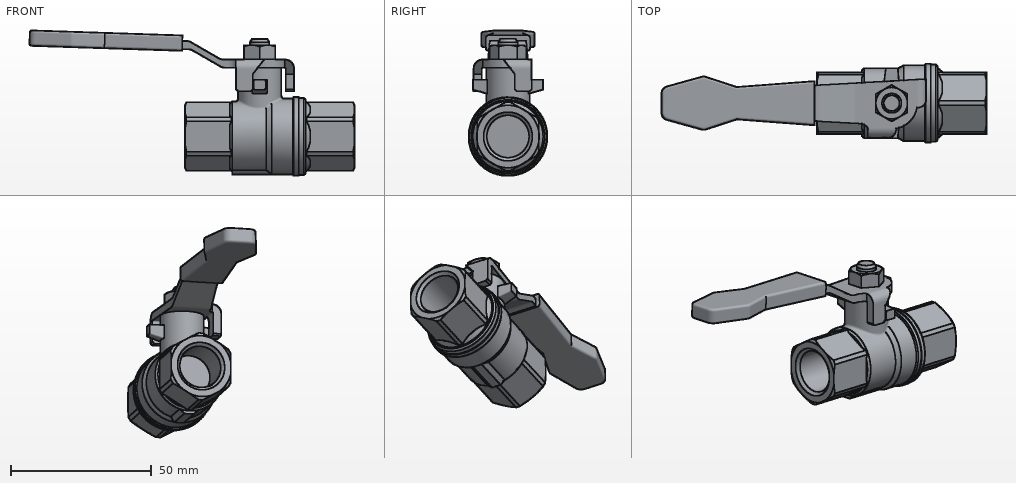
import cadquery as cq
import math


left_end = -26.5
right_end = 33.7
hex_flats = 21.9
hex_corner_width = 1.6
end_face_radius = 11.1
end_chamfer_length = 0.8
left_shell_start = -10.6
shell_edge = 0.8
left_shell_radius = 12.5
step_start = 2.4
step_end = 4.3
right_shell_radius = 27.0 / 2
collar_start = 11.7
collar_edge = 0.5
collar_radius = 28.0 / 2
rim_start = 13.8
rim_radius = 27.5 / 2
rim_end = 16.4
rim_edge = 0.7
shoulder_radius = 12.5
shoulder_end = 18.0
shoulder_end_radius = 11.1

pad_root_half = 3.7
pad_root_z = -11.8
pad_face_half = 1.7

bore_diameter = 15.0
bore_depth = 16.2
bore_mouth_diameter = 17.3

boss_diameter = 15.5
boss_fillet = 0.9
lug_reach = 12.5
lug_top = 20.2
lug_end_bottom = 16.6
lug_root_bottom = 15.2
lug_root_width = 5.3
lug_end_width = 4.2
lug_edge = 0.5

plate_thickness = 3.0
plate_bottom = 24.4
plate_top = plate_bottom + plate_thickness
plate_arc_radius = 9.1
lever_taper = 0.055
lever_half_at_stem = 7.8
crank_start = -13.7
crank_end = -25.2
crank_thickness = 2.3
crank_angle = 30.0
crank_bend_radius = 3.5
tang_length = 5.5
relief_length = 3.0

tab_reach = 12.2
tab_bend_inside = 0.3
tab_bend_outside = plate_thickness + tab_bend_inside
tab_bottom = 16.0
tab_outer_side = 8.4
tab_inner_side = 2.4
tab_flare_z = 22.2
tab_flare_side = -1.6
tab_corner = 0.7

grip_end = -81.6
grip_start = -27.4
grip_thickness = 5.5
grip_tilt = 1.9
grip_start_top = 35.9
grip_start_half = 7.8
grip_waist_x = -54.9
grip_waist_half = 5.8
grip_bulge_x = -66.6
grip_bulge_half = 9.6
grip_end_half = 5.4
grip_end_corner = 2.8
grip_bulge_corner = 1.7
grip_edge = 0.9

nut_flats = 11.2
nut_top = 32.4
nut_chamfer_height = 0.6
stem_diameter = 6.9
stem_top = 34.6
stem_chamfer_height = 1.2
stem_chamfer_width = 0.7


def around_x(from_x, to_x):
    """Selector for everything from one X to another, with a little margin, at any Y and Z."""
    margin = 2.3
    far = right_end - grip_end
    return cq.selectors.BoxSelector((from_x - margin, -far, -far), (to_x + margin, far, far))


def hexagon_across(flats):
    """Diameter through the corners of a hexagon, from its width across flats."""
    return flats / math.cos(math.pi / 6)


def revolve_about_x(points):
    return cq.Workplane("XY").polyline(points).close().revolve(360, (0, 0, 0), (1, 0, 0))


def hexagon_ends():
    """Hexagonal bar with blunted corners and chamfered end faces."""
    across_corners = hexagon_across(hex_flats)
    blunt = hex_corner_width / 2 * math.tan(math.pi / 6)
    length = right_end - left_end
    bar = cq.Workplane("YZ", origin=(left_end, 0, 0)).polygon(6, across_corners).extrude(length)
    bar = bar.rotate((0, 0, 0), (1, 0, 0), 90)
    blunted = cq.Workplane("YZ", origin=(left_end, 0, 0))
    blunted = blunted.polygon(6, hexagon_across(across_corners - 2 * blunt)).extrude(length)
    envelope = revolve_about_x([
        (left_end, 0),
        (left_end, end_face_radius),
        (left_end + end_chamfer_length, across_corners / 2),
        (right_end - end_chamfer_length, across_corners / 2),
        (right_end, end_face_radius),
        (right_end, 0),
    ])
    return bar.intersect(blunted).intersect(envelope)


def shell():
    """Turned middle of the body: left shell, step, right shell, collar and shoulder."""
    return revolve_about_x([
        (left_shell_start, 0),
        (left_shell_start, left_shell_radius - shell_edge),
        (left_shell_start + shell_edge, left_shell_radius),
        (step_start, left_shell_radius),
        (step_end, right_shell_radius),
        (collar_start, right_shell_radius),
        (collar_start + collar_edge, collar_radius),
        (rim_start, collar_radius),
        (rim_start, rim_radius),
        (rim_end - rim_edge, rim_radius),
        (rim_end, rim_radius - rim_edge),
        (rim_end, shoulder_radius),
        (shoulder_end, shoulder_end_radius),
        (shoulder_end, 0),
    ])


def bottom_pad():
    """Tapered pad that brings the left shell down to the level of the right shell."""
    return (
        cq.Workplane("YZ", origin=(left_shell_start + shell_edge, 0, 0))
        .polyline([
            (-pad_root_half, pad_root_z),
            (-pad_face_half, -right_shell_radius),
            (pad_face_half, -right_shell_radius),
            (pad_root_half, pad_root_z),
        ])
        .close()
        .extrude(step_end - left_shell_start - shell_edge)
    )


def bore(end_x, inward):
    """Blind threaded hole with a countersunk mouth; inward is the sign of X going into the body."""
    mouth_depth = (bore_mouth_diameter - bore_diameter) / 2
    return revolve_about_x([
        (end_x, 0),
        (end_x, bore_mouth_diameter / 2),
        (end_x + inward * mouth_depth, bore_diameter / 2),
        (end_x + inward * bore_depth, bore_diameter / 2),
        (end_x + inward * bore_depth, 0),
    ])


def body():
    boss = cq.Workplane("XY").circle(boss_diameter / 2).extrude(plate_bottom)
    housing = shell().union(boss)
    root = cq.selectors.BoxSelector(
        (-boss_diameter / 2, -boss_diameter / 2, boss_diameter / 2),
        (boss_diameter / 2, boss_diameter / 2, collar_radius),
    )
    housing = housing.edges(root).edges("not #Z").fillet(boss_fillet)
    housing = housing.union(hexagon_ends()).union(bottom_pad())
    return housing.cut(bore(left_end, 1)).cut(bore(right_end, -1))


def stop_lugs():
    """Two opposite lugs on the boss, narrowing outward and sloping underneath."""
    side = (
        cq.Workplane("YZ", origin=(-lug_root_width / 2, 0, 0))
        .polyline([
            (-lug_reach, lug_top),
            (lug_reach, lug_top),
            (lug_reach, lug_end_bottom),
            (boss_diameter / 2, lug_root_bottom),
            (-boss_diameter / 2, lug_root_bottom),
            (-lug_reach, lug_end_bottom),
        ])
        .close()
        .extrude(lug_root_width)
    )
    plan = (
        cq.Workplane("XY")
        .polyline([
            (-lug_end_width / 2, -lug_reach),
            (-lug_root_width / 2, -boss_diameter / 2),
            (-lug_root_width / 2, boss_diameter / 2),
            (-lug_end_width / 2, lug_reach),
            (lug_end_width / 2, lug_reach),
            (lug_root_width / 2, boss_diameter / 2),
            (lug_root_width / 2, -boss_diameter / 2),
            (lug_end_width / 2, -lug_reach),
        ])
        .close()
        .extrude(lug_top)
    )
    lugs = side.intersect(plan)
    return lugs.edges("not |X").edges("not |Z").edges("not #Y").fillet(lug_edge)


def lever_half(x):
    return lever_half_at_stem + lever_taper * x


def lever_bar():
    """Cranked flat bar from the stem to inside the grip, tapering in plan."""
    slope = math.tan(math.radians(crank_angle))
    rise = (crank_start - crank_end) * slope
    crank_drop = crank_thickness / math.cos(math.radians(crank_angle))
    under_shift = (plate_thickness - crank_drop) / slope
    tang_end = grip_start - tang_length
    profile = (
        cq.Workplane("XZ", origin=(0, tab_reach, 0))
        .polyline([
            (0, plate_bottom),
            (crank_start + under_shift, plate_bottom),
            (crank_end + under_shift, plate_bottom + rise),
            (tang_end, plate_bottom + rise),
            (tang_end, plate_top + rise),
            (crank_end, plate_top + rise),
            (crank_start, plate_top),
            (0, plate_top),
        ])
        .close()
        .extrude(2 * tab_reach)
        .edges("|Y")
        .edges(around_x(crank_end, crank_start))
        .fillet(crank_bend_radius)
    )
    plan = (
        cq.Workplane("XY")
        .polyline([
            (tang_end, -lever_half(tang_end)),
            (0, -lever_half(0)),
            (0, lever_half(0)),
            (tang_end, lever_half(tang_end)),
        ])
        .close()
        .extrude(grip_start_top)
    )
    return profile.intersect(plan)


def plate_piece(outline):
    return outline.close().extrude(plate_thickness)


def stem_plate():
    """Flat of the lever around the stem: an arc on one corner, straight towards both tabs."""
    base = cq.Workplane("XY", origin=(0, 0, plate_bottom))
    bend_start = tab_reach - tab_bend_outside
    relief_x = -tab_outer_side - relief_length
    relief_y = -lever_half(relief_x)
    relief_depth = relief_y + bend_start
    relief_radius = (relief_length ** 2 + relief_depth ** 2) / (2 * relief_depth)

    rounded_corner = base.circle(plate_arc_radius).extrude(plate_thickness)
    rounded_corner = rounded_corner.intersect(plate_piece(base.polyline([
        (-tab_outer_side, -bend_start),
        (bend_start, -bend_start),
        (bend_start, tab_outer_side),
        (-tab_outer_side, lever_half(-tab_outer_side)),
    ])))
    far_half = plate_piece(base.polyline([
        (relief_x, 0),
        (relief_x, lever_half(relief_x)),
        (bend_start, tab_outer_side),
        (bend_start, 0),
    ]))
    relieved_corner = plate_piece(
        base.moveTo(relief_x, relief_y)
        .radiusArc((-tab_outer_side, -bend_start), relief_radius)
        .lineTo(0, -bend_start)
        .lineTo(0, 0)
        .lineTo(relief_x, 0)
    )
    return rounded_corner.union(far_half).union(relieved_corner)


def end_tab():
    """Tab folded down at the +X edge of the plate, flaring where it meets the plate."""
    bend_start = tab_reach - tab_bend_outside
    strip = (
        cq.Workplane("XZ", origin=(0, tab_outer_side, 0))
        .moveTo(bend_start, plate_top)
        .radiusArc((tab_reach, plate_top - tab_bend_outside), tab_bend_outside)
        .lineTo(tab_reach, tab_bottom)
        .lineTo(tab_reach - plate_thickness, tab_bottom)
        .lineTo(tab_reach - plate_thickness, plate_bottom - tab_bend_inside)
        .radiusArc((bend_start, plate_bottom), -tab_bend_inside)
        .close()
        .extrude(2 * tab_outer_side)
    )
    face = (
        cq.Workplane("YZ", origin=(bend_start, 0, 0))
        .polyline([
            (tab_outer_side, plate_top),
            (tab_flare_side, plate_top),
            (tab_inner_side, tab_flare_z),
            (tab_inner_side, tab_bottom + tab_corner),
            (tab_inner_side + tab_corner, tab_bottom),
            (tab_outer_side - tab_corner, tab_bottom),
            (tab_outer_side, tab_bottom + tab_corner),
        ])
        .close()
        .extrude(tab_bend_outside)
    )
    return strip.intersect(face)


def side_tab():
    """The same tab carried to the -Y edge of the plate."""
    return end_tab().mirror("XZ").rotate((0, 0, 0), (0, 0, 1), -90)


def grip():
    """Sleeve on the lever: waisted in plan, rounded along its edges, tilted slightly upward."""
    sleeve = (
        cq.Workplane("XY", origin=(0, 0, grip_start_top - grip_thickness))
        .polyline([
            (grip_start, -grip_start_half),
            (grip_waist_x, -grip_waist_half),
            (grip_bulge_x, -grip_bulge_half),
            (grip_end, -grip_end_half),
            (grip_end, grip_end_half),
            (grip_bulge_x, grip_bulge_half),
            (grip_waist_x, grip_waist_half),
            (grip_start, grip_start_half),
        ])
        .close()
        .extrude(grip_thickness)
    )
    sleeve = sleeve.edges("|Z and <X").fillet(grip_end_corner)
    sleeve = sleeve.edges("|Z").edges(around_x(grip_bulge_x, grip_bulge_x)).fillet(grip_bulge_corner)
    sleeve = sleeve.faces("<Z or >Z").edges("not >X").fillet(grip_edge)
    return sleeve.rotate((grip_start, 0, grip_start_top), (grip_start, 1, grip_start_top), grip_tilt)


def nut_and_stem():
    across_corners = hexagon_across(nut_flats)
    height = nut_top - plate_top
    nut = cq.Workplane("XY", origin=(0, 0, plate_top)).polygon(6, across_corners).extrude(height)
    nut = nut.rotate((0, 0, 0), (0, 0, 1), 30)
    run = across_corners / 2 - nut_flats / 2
    round_top = cq.Workplane("XY", origin=(0, 0, plate_top)).circle(across_corners / 2).extrude(height)
    round_top = round_top.faces(">Z").chamfer(nut_chamfer_height, run)
    stem = cq.Workplane("XY", origin=(0, 0, plate_bottom)).circle(stem_diameter / 2)
    stem = stem.extrude(stem_top - plate_bottom)
    stem = stem.faces(">Z").chamfer(stem_chamfer_height, stem_chamfer_width)
    return nut.intersect(round_top).union(stem)


lever = lever_bar().union(stem_plate()).union(end_tab()).union(side_tab()).union(grip())
result = body().union(stop_lugs()).union(lever).union(nut_and_stem())